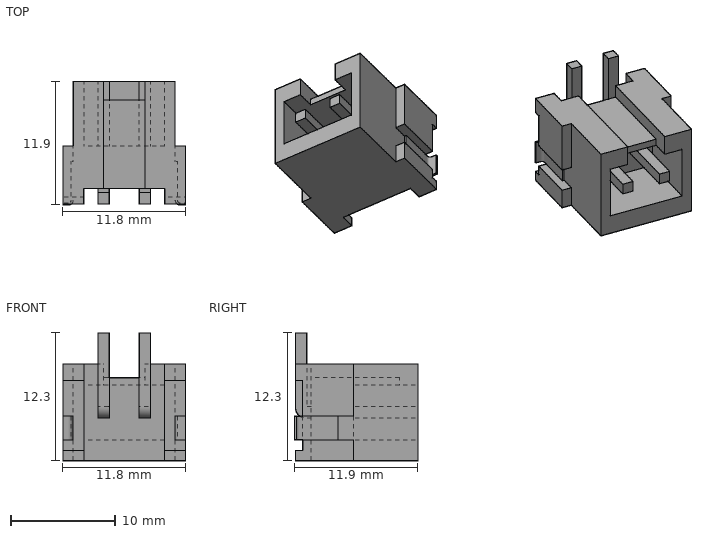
import cadquery as cq


height = 9.3
depth = 11.8
shoulder_width = 11.8
shoulder_depth = 5.6
body_width = 9.8
wall_y = 1.5
arm_gap = 7.75

recess_depth = 0.7
recess_bottom = 1.0
recess_top = 7.7

cavity_width = arm_gap
cavity_floor_y = shoulder_depth
cavity_wall = 2.0

slot_width = 4.0
slot_floor = 8.0
roof_end_y = 10.0

pin_pitch = 3.96
pin_size = 1.1
pin_top = 12.3
pin_bottom = height / 2 - pin_size / 2
pin_bend_radius = 1.0

clip_bottom = 2.0
clip_top = 4.3
clip_thickness = 0.2
clip_rear_y = 4.1
clip_front_y = -0.1
clip_bend_radius = 0.5


def block(x_range, y_range, z_range):
    """Box between the given limits along X, Y and Z."""
    sizes = [high - low for low, high in (x_range, y_range, z_range)]
    corner = (x_range[0], y_range[0], z_range[0])
    return cq.Workplane("XY").box(*sizes, centered=False).translate(corner)


def centered_block(width, y_range, z_range):
    """Box of the given width, centred on X = 0."""
    return block((-width / 2, width / 2), y_range, z_range)


def make_housing():
    """Stepped housing with its arms, arm recesses and clip channels."""
    shoulders = centered_block(shoulder_width, (0, shoulder_depth), (0, height))
    body = centered_block(body_width, (wall_y, depth), (0, height))
    arm_opening = centered_block(arm_gap, (0, wall_y), (0, height))
    arm_recess = centered_block(shoulder_width, (0, recess_depth), (recess_bottom, recess_top))
    housing = shoulders.union(body).cut(arm_opening).cut(arm_recess)
    for side in (-1, 1):
        channel_x = sorted((side * body_width / 2, side * shoulder_width / 2))
        housing = housing.cut(block(channel_x, (0, shoulder_depth), (clip_bottom, clip_top)))
    return housing


def cut_cavity(housing):
    """Hollow the mouth and cut the slot and notch in the top."""
    cavity_z = (cavity_wall, height - cavity_wall)
    cavity = centered_block(cavity_width, (cavity_floor_y, depth), cavity_z)
    slot = centered_block(slot_width, (wall_y, depth), (slot_floor, height))
    notch = centered_block(slot_width, (roof_end_y, depth), (height - cavity_wall, height))
    return housing.cut(cavity).cut(slot).cut(notch)


def make_pin(x_center):
    """L-shaped pin: level through the housing, then upright in front of it."""
    pin_x = (x_center - pin_size / 2, x_center + pin_size / 2)
    level_leg = block(pin_x, (0, depth), (pin_bottom, pin_bottom + pin_size))
    upright_leg = block(pin_x, (0, pin_size), (pin_bottom, pin_top))
    pin = level_leg.union(upright_leg)
    return pin.faces("<Y").edges("<Z").fillet(pin_bend_radius)


def make_left_clip():
    """Spring strip on the left body side, its front end bent outward."""
    inner_x = -body_width / 2
    tip_x = -shoulder_width / 2
    outer_x = inner_x - clip_thickness
    back_y = clip_front_y + clip_thickness
    bend_x = inner_x - clip_bend_radius
    bend_y = clip_front_y + clip_bend_radius
    inside_radius = clip_bend_radius - clip_thickness
    return (
        cq.Workplane("XY", origin=(0, 0, clip_bottom))
        .moveTo(inner_x, clip_rear_y)
        .lineTo(inner_x, bend_y)
        .radiusArc((bend_x, clip_front_y), clip_bend_radius)
        .lineTo(tip_x, clip_front_y)
        .lineTo(tip_x, back_y)
        .lineTo(bend_x, back_y)
        .radiusArc((outer_x, bend_y), -inside_radius)
        .lineTo(outer_x, clip_rear_y)
        .close()
        .extrude(clip_top - clip_bottom)
    )


result = cut_cavity(make_housing())
for pin_x_center in (-pin_pitch / 2, pin_pitch / 2):
    result = result.union(make_pin(pin_x_center))
left_clip = make_left_clip()
result = result.union(left_clip).union(left_clip.mirror("YZ"))